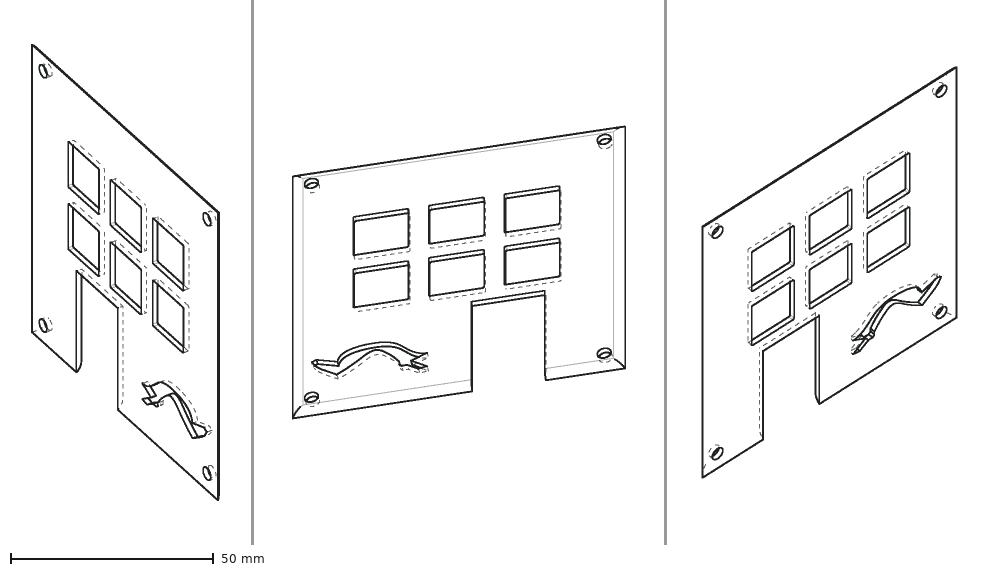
import cadquery as cq
import math

width = 83.8
height = 88.1
thickness = 1.5
rim_radius = 3.35

hole_diameter = 3.4
hole_spacing_x = 73.7
hole_spacing_z = 77.9

window_size = 13.9
window_corner_radius = 0.4
window_pitch = 19.0
window_columns = 3
window_rows = 2
grid_center_x = 0.35
grid_center_z = 7.9

slot_left = -21.85
slot_right = -3.35
slot_top = -12.95

front_y = -thickness / 2
back_y = thickness / 2


def rim_inset(depth):
    """Inset of the rim arc, from its widest point, at a depth below the back face."""
    return rim_radius - math.sqrt(rim_radius**2 - (rim_radius - depth) ** 2)


def rounded_section(plane, span, length):
    """Bar with the plate's cross section: flat front, arcs running into the back face."""
    front_half = span / 2
    arc_half = front_half + rim_inset(thickness)
    back_half = arc_half - rim_radius
    middle_half = arc_half - rim_inset(thickness / 2)
    return (
        cq.Workplane(plane)
        .moveTo(-front_half, front_y)
        .lineTo(front_half, front_y)
        .threePointArc((middle_half, 0), (back_half, back_y))
        .lineTo(-back_half, back_y)
        .threePointArc((-middle_half, 0), (-front_half, front_y))
        .close()
        .extrude(length / 2, both=True)
    )


def front_sketch():
    """Workplane on the front face with local axes X and Z; cutters extrude toward +Y."""
    return cq.Workplane(cq.Plane((0, front_y, 0), xDir=(1, 0, 0), normal=(0, -1, 0)))


def make_plate():
    across = rounded_section("XY", width, height)
    side_plane = cq.Plane((0, 0, 0), xDir=(0, 0, 1), normal=(-1, 0, 0))
    upright = rounded_section(side_plane, height, width)
    return across.intersect(upright)


def screw_holes():
    return (
        front_sketch()
        .rect(hole_spacing_x, hole_spacing_z, forConstruction=True)
        .vertices()
        .circle(hole_diameter / 2)
        .extrude(-thickness)
    )


def key_windows():
    return (
        front_sketch()
        .center(grid_center_x, grid_center_z)
        .rarray(window_pitch, window_pitch, window_columns, window_rows)
        .rect(window_size, window_size)
        .extrude(-thickness)
        .edges("|Y")
        .fillet(window_corner_radius)
    )


def bottom_slot():
    slot_bottom = -height / 2
    return (
        front_sketch()
        .moveTo(slot_left, slot_bottom)
        .lineTo(slot_right, slot_bottom)
        .lineTo(slot_right, slot_top)
        .lineTo(slot_left, slot_top)
        .close()
        .extrude(-thickness)
    )


def animal_cutout():
    """Leaping animal silhouette: arched back, pointed head at the right, forked tail at the left."""
    upper_tail_tip = (7.75, -29.2)
    back_curve = [
        (9.7, -28.8), (12.0, -27.4), (15.1, -24.4), (17.8, -23.1),
        (21.9, -22.7), (25.8, -23.3), (29.0, -24.85), (30.3, -27.5),
    ]
    head_top = (35.6, -25.6)
    head_tip = (36.7, -26.25)
    throat_curve = [(36.0, -27.6), (33.7, -29.8), (30.5, -32.1)]
    belly_curve = [
        (27.8, -30.3), (24.2, -27.3), (22.4, -25.8), (20.4, -25.3),
        (18.2, -26.6), (16.2, -28.7), (14.8, -30.75),
    ]
    hind_leg = [(14.8, -31.8), (14.2, -32.4), (12.8, -32.4), (9.95, -34.4)]
    lower_tail_tip = (7.75, -34.0)
    tail_fork = (11.8, -31.1)

    outline = front_sketch().moveTo(*upper_tail_tip)
    outline = outline.spline(back_curve, includeCurrent=True)
    outline = outline.lineTo(*head_top).lineTo(*head_tip)
    outline = outline.spline(throat_curve, includeCurrent=True)
    outline = outline.spline(belly_curve, includeCurrent=True)
    for point in [*hind_leg, lower_tail_tip, tail_fork]:
        outline = outline.lineTo(*point)
    return outline.close().extrude(-thickness)


result = make_plate()
for cutter in (screw_holes(), key_windows(), bottom_slot(), animal_cutout()):
    result = result.cut(cutter)